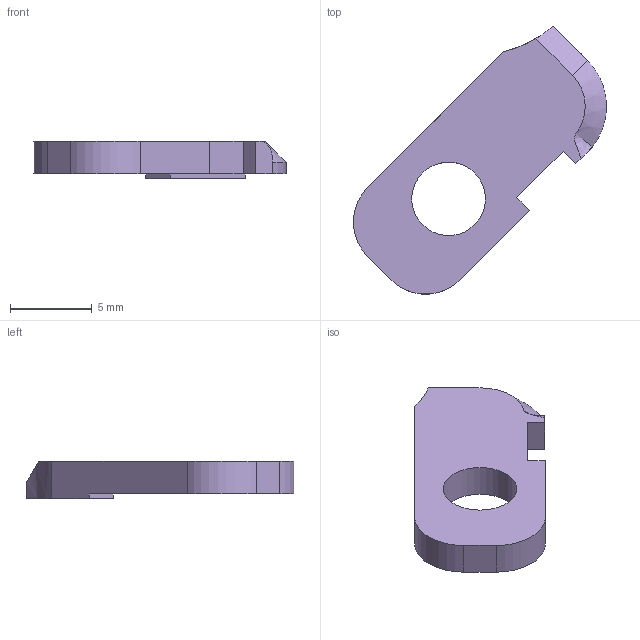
import cadquery as cq
import math


thickness = 2.0
half_width = 4.0
heel_x = -6.0
heel_radius = 3.0
nose_x = 12.0
hole_diameter = 4.5
lever_angle = 45.0

nose_radius = half_width
nose_center_x = nose_x - nose_radius
relief_start_x = 8.73
relief_end_y = 2.96
relief_radius = 7.0

notch_start_x = 3.0
notch_end_x = 7.0
notch_floor_y = -2.9

chamfer = 1.3
runout_angle = math.radians(6.7)
runout_radius = 1.07
runout_start_direction = cq.Vector(-1, -0.3, 0)
runout_end_direction = cq.Vector(-1, -0.8, 0)

pad_height = 0.3
pad_start_x = 5.5
pad_inner_y = 1.9


def nose_point(radius, z):
    """Point at the end of the nose round, at a radius from the round's centre."""
    return cq.Vector(
        nose_center_x + radius * math.sin(runout_angle),
        -radius * math.cos(runout_angle),
        z,
    )


round_end = nose_point(nose_radius, 0)
tip_side_y = round_end.y


def lever_prism(height):
    """Outline of the lever raised to a height."""
    diagonal = math.sqrt(0.5) * nose_radius
    return (
        cq.Workplane("XY")
        .moveTo(heel_x, half_width)
        .lineTo(relief_start_x, half_width)
        .radiusArc((nose_x, relief_end_y), -relief_radius)
        .lineTo(nose_x, 0)
        .threePointArc(
            (nose_center_x + diagonal, -diagonal),
            (round_end.x, round_end.y),
        )
        .lineTo(notch_end_x, tip_side_y)
        .lineTo(notch_end_x, notch_floor_y)
        .lineTo(notch_start_x, notch_floor_y)
        .lineTo(notch_start_x, -half_width)
        .lineTo(heel_x, -half_width)
        .close()
        .extrude(height)
        .edges("|Z and <X")
        .fillet(heel_radius)
    )


def make_pad():
    """Thin pad below the plate, trimmed by the lever outline."""
    length = nose_x - pad_start_x
    width = half_width - pad_inner_y
    block = cq.Workplane("XY").box(length, width, pad_height, centered=False)
    block = block.translate((pad_start_x, pad_inner_y, 0))
    return lever_prism(pad_height).intersect(block).translate((0, 0, -pad_height))


def chamfer_profile():
    """Triangle across the chamfer, drawn at the start of the nose round."""
    return (
        cq.Workplane("XZ")
        .moveTo(nose_x, thickness - chamfer)
        .lineTo(nose_x, thickness)
        .lineTo(nose_x - chamfer, thickness)
        .close()
    )


def chamfer_cutters():
    """Straight cutter across the nose and conical cutter around the round."""
    straight = chamfer_profile().extrude(-half_width)
    sweep = 90 - math.degrees(runout_angle)
    conical = chamfer_profile().revolve(sweep, (nose_center_x, 0), (nose_center_x, -1))
    return straight, conical


def runout_cutter():
    """Four-faced cutter that fades the conical chamfer into the top face.

    On the side wall the fade ends in a quarter round above a short upright edge.
    """
    inner = nose_point(nose_radius - chamfer, thickness)
    low = nose_point(nose_radius, thickness - chamfer)
    corner = nose_point(nose_radius, thickness)
    fade = cq.Vector(corner.x - runout_radius, tip_side_y, thickness)
    arc_low = cq.Vector(corner.x, tip_side_y, thickness - runout_radius)
    arc_drop = runout_radius * (1 - math.sqrt(0.5))
    arc_middle = cq.Vector(corner.x - arc_drop, tip_side_y, thickness - arc_drop)

    chamfer_end = cq.Edge.makeLine(inner, low)
    top_curve = cq.Edge.makeSpline(
        [inner, fade],
        tangents=[runout_start_direction, runout_end_direction],
    )
    side_arc = cq.Edge.makeThreePointArc(fade, arc_middle, arc_low)
    side_rise = cq.Edge.makeLine(arc_low, low)
    top_radial = cq.Edge.makeLine(inner, corner)
    top_side = cq.Edge.makeLine(fade, corner)
    upright = cq.Edge.makeLine(arc_low, corner)

    def flat_face(*edges):
        return cq.Face.makeFromWires(cq.Wire.assembleEdges(edges))

    faces = [
        cq.Face.makeNSidedSurface([chamfer_end, side_rise, side_arc, top_curve], []),
        flat_face(top_curve, top_side, top_radial),
        flat_face(chamfer_end, side_rise, upright, top_radial),
        flat_face(side_arc, upright, top_side),
    ]
    return cq.Workplane(cq.Solid.makeSolid(cq.Shell.makeShell(faces)))


plate = lever_prism(thickness).union(make_pad())
plate = plate.cut(cq.Workplane("XY").circle(hole_diameter / 2).extrude(thickness))
for cutter in chamfer_cutters():
    plate = plate.cut(cutter)
plate = plate.cut(runout_cutter())

result = plate.rotate((0, 0, 0), (0, 0, 1), lever_angle)